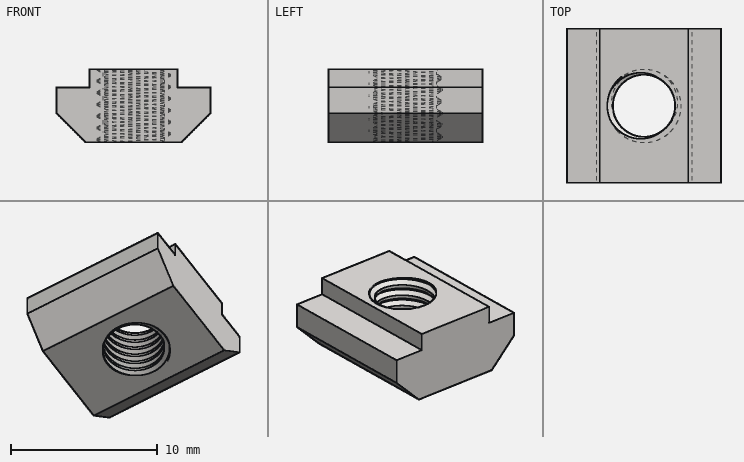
import cadquery as cq
import math

width = 10.5
length = 10.5
height = 5.0
neck_width = 6.01
neck_height = 1.25
chamfer = 2.0

bore_diameter = 4.22
thread_diameter = 5.0
pitch = 0.8
root_flat = 0.1
flank_angle = math.radians(30)
bore_overlap = 0.06


def make_body():
    """Extrude the T profile, with its bevelled lower corners, along Y."""
    half_width = width / 2
    half_neck = neck_width / 2
    shoulder_z = height - neck_height
    right_side = [
        (half_width - chamfer, 0),
        (half_width, chamfer),
        (half_width, shoulder_z),
        (half_neck, shoulder_z),
        (half_neck, height),
    ]
    left_side = [(-x, z) for x, z in reversed(right_side)]
    profile = cq.Workplane("XZ").polyline(right_side + left_side).close()
    return profile.extrude(length / 2, both=True)


def make_bore():
    """Cylinder for the bore, one pitch longer than the nut at each end."""
    bore = cq.Workplane("XY").workplane(offset=-pitch).circle(bore_diameter / 2)
    return bore.extrude(height + 2 * pitch)


def make_thread_groove():
    """Sweep a right-hand groove whose root meets the top face on the -X side."""
    outer_radius = thread_diameter / 2
    inner_radius = bore_diameter / 2 - bore_overlap
    half_root = root_flat / 2
    half_mouth = half_root + (outer_radius - inner_radius) * math.tan(flank_angle)

    turns_below_top = math.ceil(height / pitch) + 1
    start_z = height - turns_below_top * pitch
    path = cq.Wire.makeHelix(pitch, (turns_below_top + 1) * pitch, outer_radius)
    section = [
        (inner_radius, -half_mouth),
        (outer_radius, -half_root),
        (outer_radius, half_root),
        (inner_radius, half_mouth),
    ]
    groove = cq.Workplane("XZ").polyline(section).close().sweep(path, isFrenet=True)
    return groove.rotate((0, 0, 0), (0, 0, 1), 180).translate((0, 0, start_z))


result = make_body().cut(make_thread_groove()).cut(make_bore())